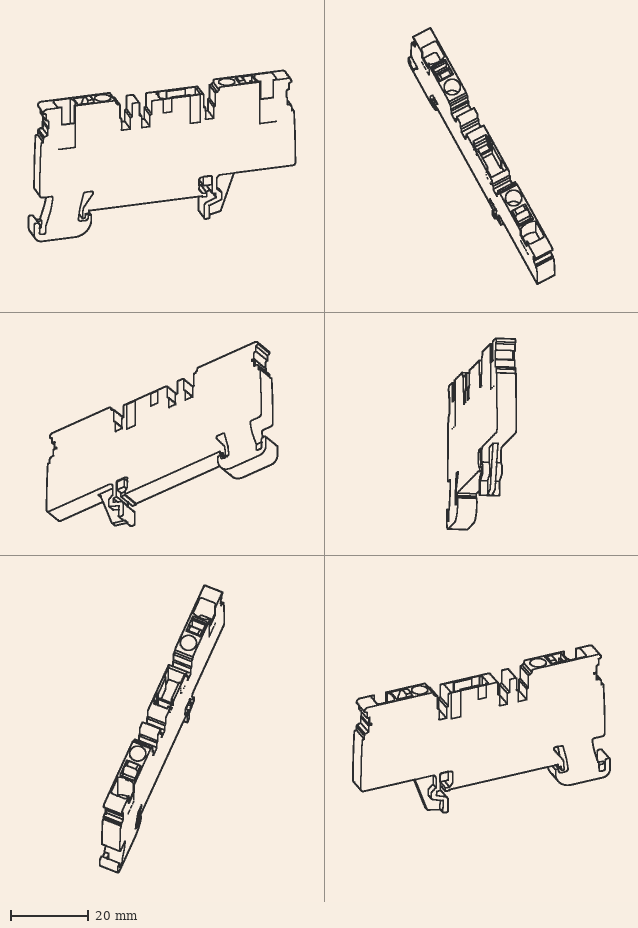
import cadquery as cq
import math


width = 5.1
side = width / 2
mirror_y = 0.745

end_y = 35.49
mirrored_end_y = 2 * mirror_y - end_y
foot_end_y = -35.49
lever_top_z = 38.1
top_z = 37.6
center_top_z = 36.2
groove_step_z = 32.4
groove_shoulder_z = groove_step_z - 0.3
groove_floor_z = 28.9
rim_radius = 0.4
body_bottom_z = 12.5
bottom_radius = 0.8
rail_seat_z = 7.05

funnel_outer_y = 30.55
funnel_corner_y = 25.8
funnel_tip_y = 25.2
funnel_x = (-2.17, 2.33)
funnel_radius = 0.6
funnel_depth = 12.0
vent_y = (26.1, 29.45)
vent_depth = 5.0
window_y = (20.45, 24.95)
window_x = (-1.87, 2.1)
window_depth = 6.0
hole_y = 17.6
hole_diameter = 4.2
hole_depth = 12.0

lever_y = (20.55, 22.2)
lever_tip_y = 22.0
lever_x = (-1.85, 1.95)
lever_bevel = 0.6
lever_ramp_y = 23.2
lever_ramp_z = 34.8
ledge_y = 24.45
ledge_z = 36.1

pocket_x = (-2.3, 2.3)
pocket_y = (-0.35, 9.7)
pocket_narrow_x = (-1.87, 1.87)
pocket_narrow_y = (1.9, 6.95)
pocket_tail_y = -1.05
pocket_depth = 8.0
pocket_rib_y = (2.0, 2.4)
pocket_step_depth = 4.0

overlap = 0.2

clip_web_thickness = 1.3
clip_block_inset = 0.3
clip_block_y = (10.55, 13.0)
clip_block_bottom_z = 9.85
foot_web_x = (-2.45, -1.25)
foot_web_y = (-34.3, -32.2)
foot_web_bottom_z = 1.9
foot_web_top_z = 4.1

notch_depth = 0.4
slit_height = 0.35
plus_notch_y = (32.9, 33.6)
plus_notch_z = (32.05, 34.35)
plus_slit_y = (32.4, 33.6)
plus_slit_top_z = 32.4
minus_notch_y = (-32.1, -31.6)
minus_notch_z = (30.0, 32.3)
minus_slit_y = (-32.1, -30.9)
minus_slit_top_z = 32.3


def rounded_outline(corners):
    """Closed YZ wire through (y, z) or (y, z, radius) corners; a radius rounds its corner."""
    count = len(corners)
    wire = None
    for i, corner in enumerate(corners):
        y, z = corner[:2]
        radius = corner[2] if len(corner) > 2 else 0
        stops = [(y, z)]
        if radius:
            before, after = corners[i - 1], corners[(i + 1) % count]
            a = math.atan2(before[1] - z, before[0] - y)
            b = math.atan2(after[1] - z, after[0] - y)
            half = math.acos(math.cos(a - b)) / 2
            bisector = math.atan2(math.sin(a) + math.sin(b), math.cos(a) + math.cos(b))
            tangent = radius / math.tan(half)
            reach = radius / math.sin(half) - radius
            stops = [
                (y + tangent * math.cos(a), z + tangent * math.sin(a)),
                (y + reach * math.cos(bisector), z + reach * math.sin(bisector)),
                (y + tangent * math.cos(b), z + tangent * math.sin(b)),
            ]
        if wire is None:
            wire = cq.Workplane("YZ").moveTo(*stops[0])
        else:
            wire = wire.lineTo(*stops[0])
        if radius:
            wire = wire.threePointArc(stops[1], stops[2])
    return wire.close()


def plate(corners, x_range):
    """Extrude a YZ outline between two X positions."""
    x0, x1 = x_range
    return rounded_outline(corners).extrude(x1 - x0).translate((x0, 0, 0))


def box(x_range, y_range, z_range):
    size = [high - low for low, high in (x_range, y_range, z_range)]
    corner = (x_range[0], y_range[0], z_range[0])
    return cq.Workplane("XY").box(*size, centered=False).translate(corner)


def mirrored(corners):
    """Mirror an outline run to the other terminal end, keeping the direction of travel."""
    return [(2 * mirror_y - c[0], *c[1:]) for c in reversed(corners)]


def both_ends(shape):
    return shape.union(shape.mirror("XZ", (0, mirror_y, 0)))


terminal_end = [
    (end_y, 20.75, 260.0),
    (35.1, 28.25, 0.4),
    (34.5, 28.25),
    (34.5, 29.3),
    (34.3, 29.8),
    (33.3, 30.15),
    (33.3, 32.0),
    (33.1, 32.2),
    (33.1, 34.35, 0.5),
    (33.75, 34.45),
    (33.75, 36.1),
    (34.45, 36.5),
    (34.45, top_z, 1.0),
    (14.8, top_z, 0.4),
    (14.7, 36.8),
    (14.2, 36.3),
    (13.65, 36.15),
    (13.65, groove_step_z),
    (13.25, groove_shoulder_z),
    (13.25, groove_floor_z),
]

middle_block = [
    (11.1, groove_floor_z),
    (11.1, groove_shoulder_z),
    (10.6, groove_step_z),
    (10.6, center_top_z, rim_radius),
    (-3.6, center_top_z, rim_radius),
    (-3.6, groove_step_z),
    (-4.05, groove_shoulder_z),
    (-4.05, groove_floor_z),
]

pillar = [
    (-6.25, groove_floor_z),
    (-6.25, groove_shoulder_z),
    (-6.85, groove_step_z),
    (-6.85, center_top_z, rim_radius),
    (-8.9, center_top_z, rim_radius),
    (-8.9, groove_step_z),
    (-9.35, groove_shoulder_z),
    (-9.35, groove_floor_z),
]

rail_foot = [
    (mirrored_end_y, body_bottom_z, bottom_radius),
    (-30.4, body_bottom_z, 0.5),
    (-30.75, 9.2, 25.0),
    (-32.3, 4.4),
    (-32.4, 2.05, 0.5),
    (-34.05, 2.05, 0.5),
    (-34.05, 5.45, 0.6),
    (foot_end_y, 5.45, 0.5),
    (foot_end_y, 0, 2.1),
    (-19.9, 0, 4.5),
    (-19.95, 5.65),
    (-20.75, 5.9),
    (-20.95, 4.4, 0.7),
    (-23.6, 4.4, 0.7),
    (-23.1, 8.0, 8.0),
    (-22.0, body_bottom_z, 0.6),
]

tongue = [
    (-19.0, body_bottom_z, 0.5),
    (-22.2, 8.0, 2.0),
    (-22.4, 5.05),
    (-21.75, 5.05),
    (-21.5, 6.2),
    (-20.65, 6.4),
    (-20.65, rail_seat_z),
]

hook = [
    (10.2, rail_seat_z),
    (10.2, 6.8),
    (11.4, 6.8),
    (11.4, 7.85),
    (10.2, 7.85),
    (9.3, 9.0, 1.0),
    (9.3, body_bottom_z, 0.8),
    (12.85, body_bottom_z, 0.5),
]

clip_leg_inner = [
    (12.85, 7.5),
    (13.85, 7.3),
    (13.9, 6.15),
    (10.65, 4.9, 1.2),
    (10.65, 0.3, 0.5),
]

clip_leg_outer = [
    (12.2, 0.5, 0.4),
    (12.0, 4.1),
    (15.4, 5.4, 0.3),
    (15.4, 7.5, 0.3),
    (14.1, 8.6),
    (14.1, body_bottom_z, 1.1),
]

body_outline = (
    terminal_end
    + middle_block
    + pillar
    + mirrored(terminal_end)
    + rail_foot
    + tongue
    + hook
    + clip_leg_inner
    + clip_leg_outer
    + [(end_y, body_bottom_z, bottom_radius)]
)

clip_web_outline = [
    (20.8, body_bottom_z + overlap),
    (19.6, body_bottom_z - overlap, 0.8),
    (15.75, 1.2, 0.5),
    (11.6, 0.3),
    (11.6, 4.6),
    (14.9, 6.0),
    (14.9, 7.5),
    (13.6, 8.6),
    (13.6, body_bottom_z + overlap),
]


def clip_parts():
    """Web and stop block of the clip leg, and the web closing one side of the foot's groove."""
    half_web = clip_web_thickness / 2
    web = plate(clip_web_outline, (-half_web, half_web))
    block_x = (-side + clip_block_inset, side - clip_block_inset)
    block = box(block_x, clip_block_y, (clip_block_bottom_z, body_bottom_z + overlap))
    foot_web = box(foot_web_x, foot_web_y, (foot_web_bottom_z, foot_web_top_z))
    return web.union(block).union(foot_web)


def wire_funnel():
    """Rounded pocket with a bowed inner end, open to +X near the top."""
    x0, x1 = funnel_x
    funnel = (
        cq.Workplane("XY", origin=(0, 0, top_z))
        .moveTo(x0, funnel_corner_y)
        .threePointArc(((x0 + x1) / 2, funnel_tip_y), (x1, funnel_corner_y))
        .lineTo(x1, funnel_outer_y)
        .lineTo(x0, funnel_outer_y)
        .close()
        .extrude(-funnel_depth)
        .edges("|Z and >Y")
        .fillet(funnel_radius)
    )
    vent = box((0, side), vent_y, (top_z - vent_depth, top_z))
    return funnel.union(vent)


def lever_window():
    return box(window_x, window_y, (top_z - window_depth, top_z))


def test_hole():
    hole = cq.Workplane("XY", origin=(0, hole_y, top_z)).circle(hole_diameter / 2)
    return hole.extrude(-hole_depth)


def release_lever():
    """Lever with beveled tip, sloped toward the wire side, plus the ledge facing it."""
    root_z = top_z - window_depth
    lever_outline = [
        (lever_y[0], root_z),
        (lever_y[0], lever_top_z),
        (lever_tip_y, lever_top_z),
        (lever_y[1], top_z),
        (lever_ramp_y, lever_ramp_z),
        (lever_ramp_y, root_z),
    ]
    lever = plate(lever_outline, lever_x)
    lever = lever.faces(">Z").edges("|Y").chamfer(lever_bevel)
    base = box(lever_x, (window_y[0], lever_ramp_y), (root_z - overlap, root_z + overlap))
    ledge = box(window_x, (ledge_y, window_y[1]), (root_z, ledge_z))
    return lever.union(base).union(ledge)


def marker_pocket():
    """Pocket with a wide +Y end, a low cross rib and shallow steps around its -Y end."""
    floor_z = center_top_z - pocket_depth
    step_z = center_top_z - pocket_step_depth
    main = box(pocket_narrow_x, pocket_y, (floor_z, center_top_z))
    wide_end = box(pocket_x, (pocket_narrow_y[1], pocket_y[1]), (floor_z, center_top_z))
    side_steps = box(pocket_x, (pocket_y[0], pocket_narrow_y[0]), (step_z, center_top_z))
    tail = box(pocket_narrow_x, (pocket_tail_y, pocket_y[0]), (step_z, center_top_z))
    rib = box(pocket_x, pocket_rib_y, (floor_z, step_z))
    return main.union(wide_end).cut(rib).union(side_steps).union(tail)


def corner_notch(y_range, z_range, slit_y_range, slit_top_z):
    """Shallow step in the -X edge of an end face, with a slit running inward."""
    x_range = (-side, -side + notch_depth)
    step = box(x_range, y_range, z_range)
    slit = box(x_range, slit_y_range, (slit_top_z - slit_height, slit_top_z))
    return step.union(slit)


body = plate(body_outline, (-side, side)).union(clip_parts())
for cutter in (wire_funnel(), lever_window(), test_hole()):
    body = body.cut(both_ends(cutter))
body = body.union(both_ends(release_lever()))
body = body.cut(marker_pocket())
body = body.cut(corner_notch(plus_notch_y, plus_notch_z, plus_slit_y, plus_slit_top_z))
body = body.cut(corner_notch(minus_notch_y, minus_notch_z, minus_slit_y, minus_slit_top_z))

result = body